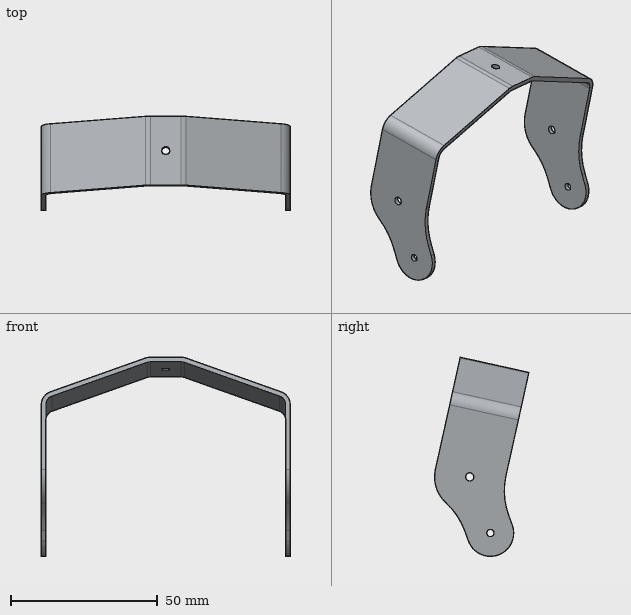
import cadquery as cq
import math

outer_width = 84.9
sheet = 1.6
strip_width = 24.0
tilt = 12.5
top_height = 39.1
top_flat_width = 12.2
roof_slope = 20.0
bend_inner_radius = 3.2

tail_length = 20.4
tail_lean = 32.7
tail_radius = 8.0
neck_radius = 24.0

pivot_hole = 2.7
top_hole = 2.7
tail_hole = 2.4

half_width = outer_width / 2
half_strip = strip_width / 2

lean = math.radians(tail_lean)
tail_dir = (math.sin(lean), -math.cos(lean))
tail_side = (math.cos(lean), math.sin(lean))
tail_center = (tail_length * tail_dir[0], tail_length * tail_dir[1])


def tail_point(along, across):
    """Local (y, z) of a point given along and across the tail axis from the pivot hole."""
    return (
        along * tail_dir[0] + across * tail_side[0],
        along * tail_dir[1] + across * tail_side[1],
    )


def from_center(center, radius, angle):
    return (center[0] + radius * math.cos(angle), center[1] + radius * math.sin(angle))


def leg_outline():
    neck_offset = tail_radius + neck_radius
    rear_center_y = half_strip + neck_radius
    rear_along = (rear_center_y - neck_offset * tail_side[0]) / tail_dir[0]
    rear_center = tail_point(rear_along, neck_offset)
    rear_start = (half_strip, rear_center[1])
    rear_middle = from_center(rear_center, neck_radius, math.pi + lean / 2)
    rear_end = tail_point(rear_along, tail_radius)

    front_along = math.sqrt((half_strip + neck_radius) ** 2 - neck_offset**2)
    front_center = tail_point(front_along, -neck_offset)
    front_start = tail_point(front_along, -tail_radius)
    toward_pivot = math.atan2(-front_center[1], -front_center[0])
    front_middle = from_center(front_center, neck_radius, (toward_pivot + lean) / 2)
    front_end = from_center(front_center, neck_radius, toward_pivot)

    end_angle = math.atan2(front_center[1], front_center[0])
    round_middle = from_center((0, 0), half_strip, (end_angle - math.pi) / 2)

    return (
        cq.Workplane("YZ")
        .moveTo(-half_strip, top_height)
        .lineTo(half_strip, top_height)
        .lineTo(*rear_start)
        .threePointArc(rear_middle, rear_end)
        .lineTo(*tail_point(tail_length, tail_radius))
        .threePointArc(
            tail_point(tail_length + tail_radius, 0),
            tail_point(tail_length, -tail_radius),
        )
        .lineTo(*front_start)
        .threePointArc(front_middle, front_end)
        .threePointArc(round_middle, (-half_strip, 0))
        .close()
        .extrude(half_width, both=True)
    )


def arch(inset, bend_radius):
    """Solid under the bent strip, moved inward by inset from its outer faces."""
    slope = math.radians(roof_slope)
    flat_x = top_flat_width / 2 - inset * math.tan(slope / 2)
    side_x = half_width - inset
    top_z = top_height - inset
    shoulder_z = top_z - (side_x - flat_x) * math.tan(slope)
    bottom_z = -(tail_length + 2 * tail_radius)
    solid = (
        cq.Workplane("XZ")
        .polyline([
            (-side_x, bottom_z),
            (-side_x, shoulder_z),
            (-flat_x, top_z),
            (flat_x, top_z),
            (side_x, shoulder_z),
            (side_x, bottom_z),
        ])
        .close()
        .extrude(outer_width, both=True)
    )
    bends = cq.selectors.BoxSelector(
        (-outer_width, -outer_width, 0), (outer_width, outer_width, outer_width)
    )
    return solid.edges("|Y").edges(bends).fillet(bend_radius)


def side_hole(center, diameter):
    return (
        cq.Workplane("YZ")
        .center(*center)
        .circle(diameter / 2)
        .extrude(outer_width, both=True)
    )


bend_outer_radius = bend_inner_radius + sheet
outer_arch = arch(0, bend_outer_radius)
inner_arch = arch(sheet, bend_inner_radius)
bracket = outer_arch.cut(inner_arch).intersect(leg_outline())

bracket = bracket.cut(side_hole((0, 0), pivot_hole))
bracket = bracket.cut(side_hole(tail_center, tail_hole))
top_cutter = cq.Workplane("XY").circle(top_hole / 2).extrude(top_height + sheet)
bracket = bracket.cut(top_cutter)

result = bracket.rotate((0, 0, 0), (1, 0, 0), -tilt)